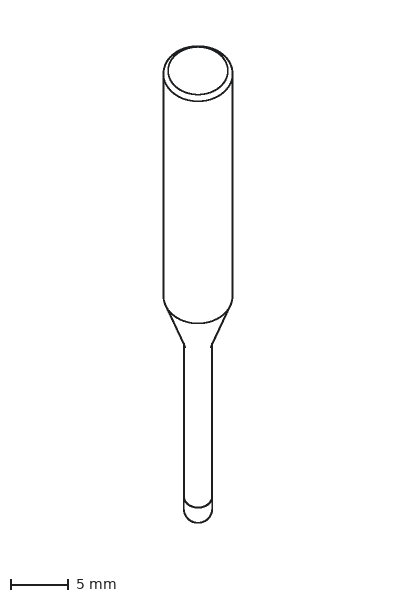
import cadquery as cq

total_length = 64.0
shank_diameter = 6.0
shank_chamfer = 0.415

tip_length = 3.0
neck_top = 25.0
cone_top = 31.75

tip_diameter = 2.5
neck_diameter = 2.4

shank_radius = shank_diameter / 2
tip_radius = tip_diameter / 2
neck_radius = neck_diameter / 2


def make_tip():
    """Cutting tip: a short cylinder ending in a hemisphere."""
    arc_middle = tip_radius * 0.5 ** 0.5
    profile = (
        cq.Workplane("XZ")
        .moveTo(0, 0)
        .threePointArc((arc_middle, tip_radius - arc_middle), (tip_radius, tip_radius))
        .lineTo(tip_radius, tip_length)
        .lineTo(0, tip_length)
        .close()
    )
    return profile.revolve(360, (0, 0, 0), (0, 1, 0))


def make_neck():
    """Slim cylinder that flares in a cone up to the shank diameter."""
    profile = cq.Workplane("XZ").polyline([
        (0, tip_length),
        (neck_radius, tip_length),
        (neck_radius, neck_top),
        (shank_radius, cone_top),
        (0, cone_top),
    ]).close()
    return profile.revolve(360, (0, 0, 0), (0, 1, 0))


def make_shank():
    """Clamping cylinder with a chamfered upper end."""
    return (
        cq.Workplane("XY")
        .workplane(offset=cone_top)
        .circle(shank_radius)
        .extrude(total_length - cone_top)
        .faces(">Z")
        .chamfer(shank_chamfer)
    )


tip = make_tip()
neck = make_neck()
shank = make_shank()

result = cq.Compound.makeCompound([tip.val(), neck.val(), shank.val()])